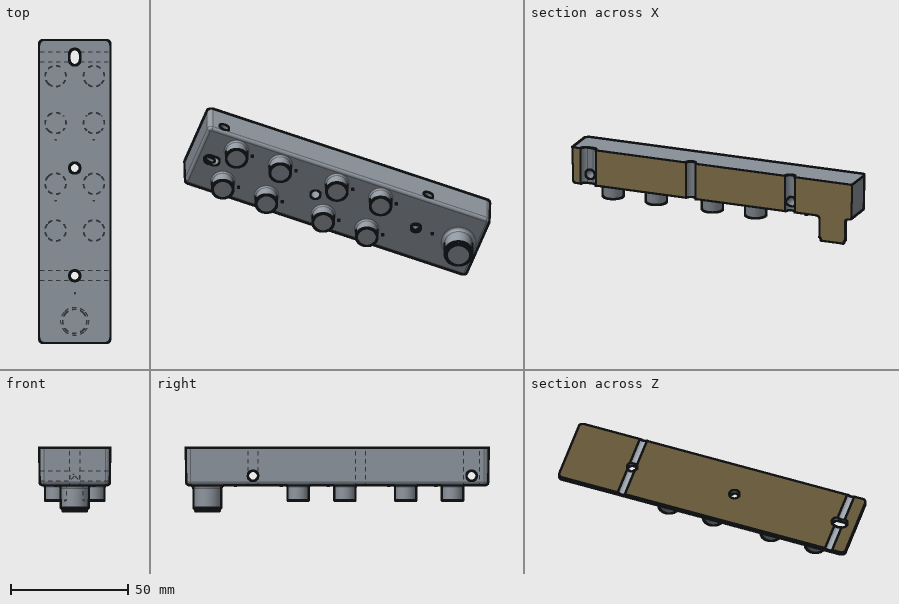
import cadquery as cq
import math

top_width = 30.56
top_length = 129.66
housing_height = 16.15
draft_angle = 1.0
corner_radius = 2.1
bottom_fillet = 1.4

embed_depth = 0.5

socket_diameter = 9.2
socket_base_diameter = 10.55
socket_bottom = -22.75
socket_chamfer = 0.3
socket_row_x = 8.2
socket_pair_pitch = 20.0
first_pair_y = 49.25
second_pair_y = 3.3
socket_ys = [
    pair_y - step * socket_pair_pitch
    for pair_y in (first_pair_y, second_pair_y)
    for step in range(2)
]

connector_y = -55.5
connector_diameter = 12.0
connector_base_diameter = 14.8
connector_tip_diameter = 10.65
connector_shoulder_z = -25.7
connector_bottom = -27.3
shoulder_chamfer = (connector_diameter - connector_tip_diameter) / 2
tip_chamfer = 0.3

light_diameter = 0.6
light_height = 0.3
light_offset_y = 7.2
single_light_y = -43.5

hole_diameter = 4.3
hole_mouth_diameter = 4.75
mouth_angle = 45
mouth_chamfer = (hole_mouth_diameter - hole_diameter) / 2
slot_mouth_length = 7.22
slot_length = slot_mouth_length - 2 * mouth_chamfer
slot_y = 57.4
top_hole_ys = (10.0, -36.0)
side_hole_z = -12.1
side_hole_ys = (slot_y, top_hole_ys[-1])


def make_housing():
    """Drafted block with its bottom rim rounded."""
    outline = cq.Sketch().rect(top_width, top_length).vertices().fillet(corner_radius)
    block = cq.Workplane("XY").placeSketch(outline).extrude(-housing_height, taper=draft_angle)
    return block.faces("<Z").edges().fillet(bottom_fillet)


def start_turned_profile(base_diameter, barrel_diameter):
    """Start a half profile in X-Z: embedded base, then a concave fillet down to the barrel."""
    base_radius = base_diameter / 2
    fillet_radius = (base_diameter - barrel_diameter) / 2
    fillet_middle = fillet_radius * (1 - math.sqrt(0.5))
    barrel_radius = barrel_diameter / 2
    return (
        cq.Workplane("XZ", origin=(0, 0, -housing_height))
        .moveTo(0, embed_depth)
        .lineTo(base_radius, embed_depth)
        .lineTo(base_radius, 0)
        .threePointArc(
            (barrel_radius + fillet_middle, -fillet_middle),
            (barrel_radius, -fillet_radius),
        )
    )


def height_from_bottom_face(z):
    """Height coordinate measured from the housing's bottom face."""
    return z + housing_height


def finish_turned_profile(profile, end_radius, chamfer, bottom_z):
    """Add the chamfered end to a half profile and revolve it about its vertical axis."""
    end = height_from_bottom_face(bottom_z)
    closed = (
        profile.lineTo(end_radius, end + chamfer)
        .lineTo(end_radius - chamfer, end)
        .lineTo(0, end)
        .close()
    )
    return closed.revolve(360, (0, 0), (0, 1))


def make_socket():
    """Small socket with a filleted base and a chamfered end."""
    profile = start_turned_profile(socket_base_diameter, socket_diameter)
    return finish_turned_profile(profile, socket_diameter / 2, socket_chamfer, socket_bottom)


def make_connector():
    """Main connector: filleted base, barrel, sloped shoulder and narrower tip."""
    shoulder = height_from_bottom_face(connector_shoulder_z)
    tip_radius = connector_tip_diameter / 2
    profile = (
        start_turned_profile(connector_base_diameter, connector_diameter)
        .lineTo(connector_diameter / 2, shoulder)
        .lineTo(tip_radius, shoulder - shoulder_chamfer)
    )
    return finish_turned_profile(profile, tip_radius, tip_chamfer, connector_bottom)


def make_light():
    """Low round stud on the bottom face."""
    base = cq.Workplane("XY", origin=(0, 0, embed_depth - housing_height))
    return base.circle(light_diameter / 2).extrude(-embed_depth - light_height)


def make_top_hole():
    """Tool body for a round through hole with a chamfered mouth."""
    shaft = cq.Workplane("XY").circle(hole_diameter / 2).extrude(-housing_height)
    mouth = cq.Workplane("XY").circle(hole_mouth_diameter / 2)
    return shaft.union(mouth.extrude(-mouth_chamfer, taper=mouth_angle))


def make_slot():
    """Tool body for the lengthwise through slot with a chamfered mouth."""
    shaft = cq.Workplane("XY").slot2D(slot_length, hole_diameter, 90).extrude(-housing_height)
    mouth = cq.Workplane("XY").slot2D(slot_mouth_length, hole_mouth_diameter, 90)
    return shaft.union(mouth.extrude(-mouth_chamfer, taper=mouth_angle))


def make_side_hole():
    """Tool body for a crosswise through hole."""
    return cq.Workplane("YZ").circle(hole_diameter / 2).extrude(top_width / 2, both=True)


result = make_housing()

for y in socket_ys:
    for x in (-socket_row_x, socket_row_x):
        result = result.union(make_socket().translate((x, y, 0)))
        result = result.union(make_light().translate((x, y - light_offset_y, 0)))

result = result.union(make_connector().translate((0, connector_y, 0)))
result = result.union(make_light().translate((0, single_light_y, 0)))

for y in top_hole_ys:
    result = result.cut(make_top_hole().translate((0, y, 0)))
result = result.cut(make_slot().translate((0, slot_y, 0)))
for y in side_hole_ys:
    result = result.cut(make_side_hole().translate((0, y, side_hole_z)))